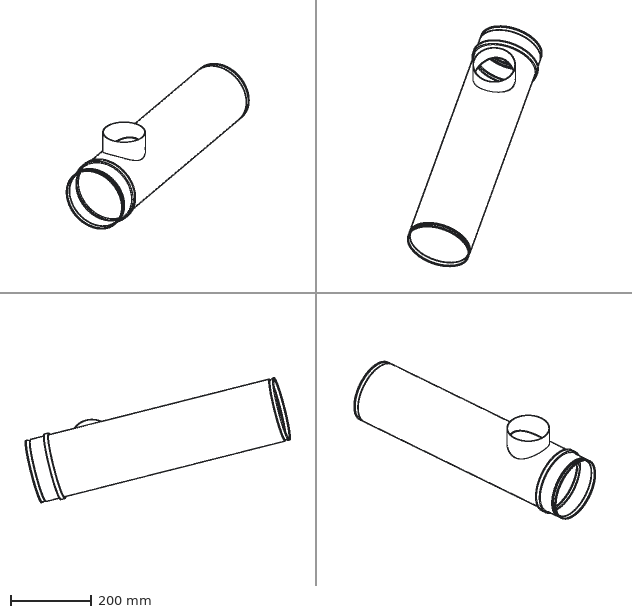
import cadquery as cq

length = 640.0
pipe_radius = 80.0
wall = 2.0

lip_width = 3.0
groove_bottom = 10.0
groove_end = 13.0
groove_depth = 2.5

bead_radius = 84.5
bead_center = 54.5
bead_width = 12.0

branch_radius = 53.0
branch_center = 150.5
branch_top = 120.0


def pipe_body(offset):
    """Solid of revolution following the pipe skin, moved inward by offset."""
    skin = pipe_radius - offset
    groove = skin - groove_depth
    bead = bead_radius - offset
    bead_start = bead_center - bead_width / 2 + offset
    bead_end = bead_center + bead_width / 2 - offset

    front_end = [
        (skin, 0),
        (skin, lip_width),
        (groove, groove_bottom),
        (skin, groove_end),
    ]
    stop_bead = [
        (skin, bead_start),
        (bead, bead_start),
        (bead, bead_end),
        (skin, bead_end),
    ]
    back_end = [(radius, length - y) for radius, y in reversed(front_end)]
    outline = [(0, 0)] + front_end + stop_bead + back_end + [(0, length)]
    return cq.Workplane("XY").polyline(outline).close().revolve(360, (0, 0, 0), (0, 1, 0))


def branch_body(radius):
    """Upright cylinder from the main pipe axis to the branch mouth."""
    return cq.Workplane("XY").center(0, branch_center).circle(radius).extrude(branch_top)


outside = pipe_body(0).union(branch_body(branch_radius))
result = outside.cut(pipe_body(wall)).cut(branch_body(branch_radius - wall))